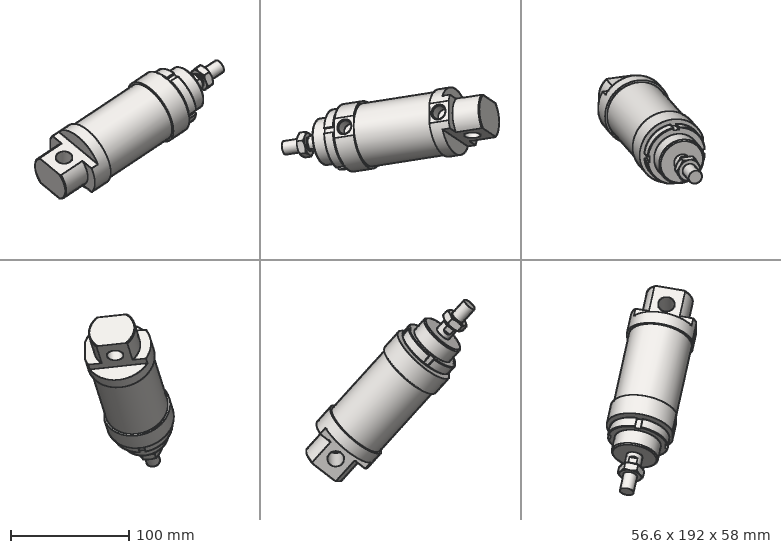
import cadquery as cq
import math


full_turn = 360

cap_rear_y = 25.0
tail_flat_end_y = 32.0
barrel_rear_y = 43.0
barrel_front_y = 114.0
cap_front_y = 132.0
ring_nut_rear_y = 134.0
neck_front_y = 157.0
shoulder_y = 167.0
hex_nut_rear_y = 169.2
rod_tip_y = 192.0

cap_radius = 29.0
barrel_radius = 27.0
neck_radius = 20.0
neck_chamfer = 1.2
tail_radius = neck_radius
tail_chamfer = 0.8
tail_thickness = 30.0
pivot_hole_diameter = 14.0
pivot_hole_y = 16.0

port_flat_distance = 27.6
port_diameter = 11.7
port_mouth_diameter = 13.5
port_depth = 11.5
port_offset = 8.6
front_port_y = barrel_front_y + port_offset
rear_port_y = barrel_rear_y - port_offset

ring_nut_radius = 26.0
ring_nut_thickness = 9.0
ring_nut_chamfer = 0.5
ring_slot_count = 4
ring_slot_width = 5.0
ring_slot_depth = 2.3

rod_radius = 7.0
rod_flat_distance = 6.0
rod_flat_end_y = 162.0
undercut_radius = 5.0
thread_radius = 6.0

hex_nut_across_flats = 19.0
hex_sides = 6
hex_nut_across_corners = hex_nut_across_flats / math.cos(math.pi / hex_sides)
hex_nut_thickness = 7.1
hex_nut_chamfer_angle = 30


def cylinder_y(radius, start_y, end_y):
    """Solid cylinder around the Y axis between two stations."""
    plane = cq.Workplane("XZ", origin=(0, start_y, 0))
    return plane.circle(radius).extrude(start_y - end_y)


def make_port(y):
    """Blind port with a 45 degree mouth chamfer, as a cutting tool from the -X flat."""
    mouth_radius = port_mouth_diameter / 2
    bore_radius = port_diameter / 2
    mouth_x = -port_flat_distance
    mouth_end_x = mouth_x + mouth_radius - bore_radius
    bottom_x = mouth_x + port_depth
    profile = [
        (mouth_x, y),
        (mouth_x, y + mouth_radius),
        (mouth_end_x, y + bore_radius),
        (bottom_x, y + bore_radius),
        (bottom_x, y),
    ]
    return cq.Workplane("XY").polyline(profile).close().revolve(full_turn, (0, y, 0), (1, y, 0))


def make_end_cap(start_y, end_y, port_y):
    """Round end cap with a flat on the -X side and a port in that flat."""
    cap = cylinder_y(cap_radius, start_y, end_y)
    kept_block = cq.Workplane("XY").box(
        port_flat_distance + cap_radius, end_y - start_y, 2 * cap_radius, centered=(False, False, True)
    ).translate((-port_flat_distance, start_y, 0))
    return cap.intersect(kept_block).cut(make_port(port_y))


def cut_tail_flats(body):
    """Trim the tail and the rear of the cap to two parallel faces at +Z and -Z."""
    waste_height = cap_radius - tail_thickness / 2
    for side in (1, -1):
        waste = cq.Workplane("XY").box(
            2 * cap_radius, tail_flat_end_y, waste_height, centered=(True, False, True)
        ).translate((0, 0, side * (tail_thickness + waste_height) / 2))
        body = body.cut(waste)
    return body


def make_housing():
    """Tail, two end caps, barrel and neck."""
    tail = cylinder_y(tail_radius, 0, cap_rear_y).faces("<Y").chamfer(tail_chamfer)
    rear_cap = make_end_cap(cap_rear_y, barrel_rear_y, rear_port_y)
    barrel = cylinder_y(barrel_radius, barrel_rear_y, barrel_front_y)
    front_cap = make_end_cap(barrel_front_y, cap_front_y, front_port_y)
    neck = cylinder_y(neck_radius, cap_front_y, neck_front_y).faces(">Y").chamfer(neck_chamfer)
    pivot_hole = (
        cq.Workplane("XY", origin=(0, pivot_hole_y, 0))
        .circle(pivot_hole_diameter / 2)
        .extrude(tail_radius, both=True)
    )
    body = cut_tail_flats(tail.union(rear_cap))
    return body.cut(pivot_hole).union(barrel).union(front_cap).union(neck)


def make_ring_nut():
    """Round nut with spanner slots across its rim."""
    front_y = ring_nut_rear_y + ring_nut_thickness
    nut = cylinder_y(ring_nut_radius, ring_nut_rear_y, front_y).faces("<Y or >Y").chamfer(ring_nut_chamfer)
    nut = nut.cut(cylinder_y(neck_radius, ring_nut_rear_y, front_y))
    slot = cq.Workplane("XY").box(
        ring_slot_width, ring_nut_thickness, 2 * ring_slot_depth, centered=(True, False, True)
    ).translate((0, ring_nut_rear_y, ring_nut_radius))
    for index in range(ring_slot_count):
        angle = index * full_turn / ring_slot_count
        nut = nut.cut(slot.rotate((0, 0, 0), (0, 1, 0), angle))
    return nut


def make_rod():
    """Rod standing on the neck face, with spanner flats, an undercut and a threaded end."""
    rod = cylinder_y(rod_radius, neck_front_y, shoulder_y)
    flat_depth = rod_radius - rod_flat_distance
    flat_profile = [
        (rod_flat_end_y - flat_depth, rod_radius),
        (rod_flat_end_y, rod_flat_distance),
        (shoulder_y, rod_flat_distance),
        (shoulder_y, rod_radius),
    ]
    flat_waste = cq.Workplane("YZ").polyline(flat_profile).close().extrude(rod_radius, both=True)
    rod = rod.cut(flat_waste).cut(flat_waste.mirror("XY"))
    undercut = cylinder_y(undercut_radius, shoulder_y, hex_nut_rear_y)
    thread = cylinder_y(thread_radius, hex_nut_rear_y, rod_tip_y)
    return rod.union(undercut).union(thread)


def make_hex_nut():
    """Hexagon nut with corners on the X axis, chamfered at both ends."""
    front_y = hex_nut_rear_y + hex_nut_thickness
    corner_radius = hex_nut_across_corners / 2
    face_radius = hex_nut_across_flats / 2
    chamfer_length = (corner_radius - face_radius) * math.tan(math.radians(hex_nut_chamfer_angle))
    hexagon = (
        cq.Workplane("XZ", origin=(0, hex_nut_rear_y, 0))
        .polygon(hex_sides, hex_nut_across_corners)
        .extrude(-hex_nut_thickness)
    )
    envelope_profile = [
        (0, hex_nut_rear_y),
        (face_radius, hex_nut_rear_y),
        (corner_radius, hex_nut_rear_y + chamfer_length),
        (corner_radius, front_y - chamfer_length),
        (face_radius, front_y),
        (0, front_y),
    ]
    envelope = cq.Workplane("XY").polyline(envelope_profile).close().revolve(full_turn, (0, 0, 0), (0, 1, 0))
    return hexagon.intersect(envelope).cut(cylinder_y(thread_radius, hex_nut_rear_y, front_y))


housing = make_housing()
ring_nut = make_ring_nut()
rod = make_rod()
hex_nut = make_hex_nut()

result = cq.Compound.makeCompound([housing.val(), ring_nut.val(), rod.val(), hex_nut.val()])